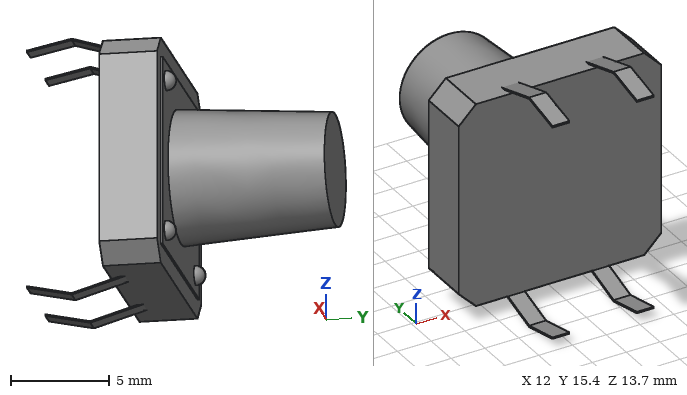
import cadquery as cq

housing_width = 12.0
housing_depth = 3.0
corner_cut = 1.02

cover_width = housing_width - 2 * corner_cut
cover_thickness = 0.1
cover_face = housing_depth + cover_thickness

plunger_tip = 11.1
plunger_base_radius = 3.5
plunger_tip_radius = 2.95

rivet_radius = 0.51
rivet_offset = 4.0

lead_width = 1.0
lead_thickness = 0.1
lead_offset = 2.5
lead_exit_y = 0.75
lead_bend_y = -1.99
lead_end_y = plunger_tip - 15.42
lead_span_z = 13.65
lead_bend_z = lead_span_z / 2
lead_end_z = 6.32


def make_housing():
    """Square block with its four corners cut at 45 degrees."""
    block = cq.Workplane("XY").box(housing_width, housing_depth, housing_width, centered=(True, False, True))
    return block.edges("|Y").chamfer(corner_cut)


def make_cover():
    cover = cq.Workplane("XY").box(cover_width, cover_thickness, cover_width, centered=(True, False, True))
    return cover.translate((0, housing_depth, 0))


def make_plunger():
    """Half profile revolved about the Y axis."""
    return (
        cq.Workplane("ZY")
        .moveTo(0, cover_face)
        .lineTo(plunger_base_radius, cover_face)
        .lineTo(plunger_tip_radius, plunger_tip)
        .lineTo(0, plunger_tip)
        .close()
        .revolve(360, (0, 0, 0), (0, 1, 0))
    )


def make_rivet(x, z):
    """Ball centred on the cover face, so that half of it stands proud."""
    return cq.Workplane("XY").sphere(rivet_radius).translate((x, cover_face, z))


def make_lead(x, side):
    """Strip leaving the housing side, bent back towards it; side is +1 (top) or -1 (bottom)."""
    outer_path = [
        (lead_exit_y, housing_width / 2),
        (lead_bend_y, lead_bend_z),
        (lead_end_y, lead_end_z),
    ]
    inner_path = [(y, z - lead_thickness) for y, z in reversed(outer_path)]
    profile = [(y, side * z) for y, z in outer_path + inner_path]
    strip = cq.Workplane("YZ").polyline(profile).close().extrude(lead_width / 2, both=True)
    return strip.translate((x, 0, 0))


result = make_housing().union(make_cover()).union(make_plunger())
for x_side in (-1, 1):
    for z_side in (-1, 1):
        result = result.union(make_rivet(x_side * rivet_offset, z_side * rivet_offset))
        result = result.union(make_lead(x_side * lead_offset, z_side))